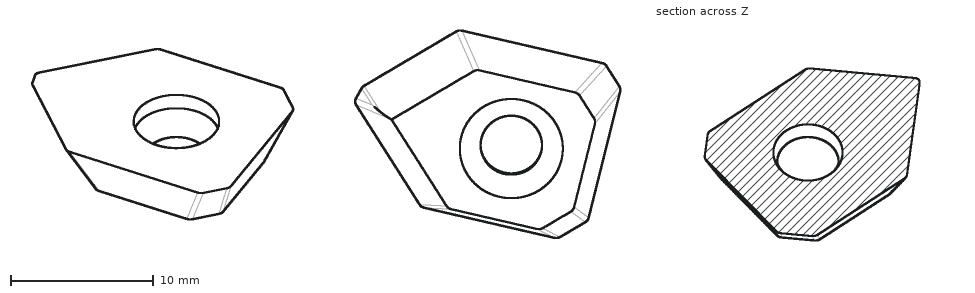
import math

import cadquery as cq

THICKNESS = 3.97
SIDE_RELIEF = 20.0
OBLIQUE_RELIEF = 28.5
EDGE_RADIUS = 0.55

RIGHT_REACH = 6.73
BACK_REACH = 6.73
FRONT_REACH = 6.47
BACK_CORNER_REACH = 8.26
FRONT_CORNER_REACH = 8.26
BACK_FLANK_REACH = 8.22
FRONT_FLANK_REACH = 8.35
NOSE_REACH = 10.8

WALLS = [
    (0, RIGHT_REACH, SIDE_RELIEF),
    (45, BACK_CORNER_REACH, OBLIQUE_RELIEF),
    (90, BACK_REACH, SIDE_RELIEF),
    (135, BACK_FLANK_REACH, OBLIQUE_RELIEF),
    (195, NOSE_REACH, OBLIQUE_RELIEF),
    (225, FRONT_FLANK_REACH, OBLIQUE_RELIEF),
    (270, FRONT_REACH, SIDE_RELIEF),
    (315, FRONT_CORNER_REACH, OBLIQUE_RELIEF),
]
STOCK_SIZE = 60.0

SEAT_RADIUS = 3.0
SEAT_DEPTH = 1.2
THROAT_RADIUS = 2.15
THROAT_DEPTH = 3.12
COUNTERSINK_HALF_ANGLE = 60.0


def half_stock(direction, reach, relief):
    """Slab of stock lying inside one leaning side wall."""
    inset = THICKNESS * math.tan(math.radians(relief))
    profile = [
        (-STOCK_SIZE, 0),
        (reach, 0),
        (reach - inset, -THICKNESS),
        (-STOCK_SIZE, -THICKNESS),
    ]
    slab = cq.Workplane("XZ").polyline(profile).close().extrude(STOCK_SIZE, both=True)
    return slab.rotate((0, 0, 0), (0, 0, 1), direction)


def top_corner(wall, next_wall):
    """Point where the top edges of two neighbouring walls meet."""
    angle, reach, _ = wall
    next_angle, next_reach, _ = next_wall
    a = math.radians(angle)
    b = math.radians(next_angle)
    turn = math.sin(b - a)
    x = (reach * math.sin(b) - next_reach * math.sin(a)) / turn
    y = (next_reach * math.cos(a) - reach * math.cos(b)) / turn
    return x, y


def rounded_wedge(wall, next_wall):
    """Stock inside two neighbouring walls, with the edge between them rounded."""
    wedge = half_stock(*wall).intersect(half_stock(*next_wall))
    middle_height = -THICKNESS / 2
    x, y = top_corner(wall, next_wall)
    edge = wedge.edges("not #Z").edges(cq.selectors.NearestToPointSelector((x, y, middle_height)))
    return edge.fillet(EDGE_RADIUS)


def insert_body():
    """Insert outline: the stock common to the wedges at all corners."""
    body = rounded_wedge(WALLS[-1], WALLS[0])
    for wall, next_wall in zip(WALLS, WALLS[1:]):
        body = body.intersect(rounded_wedge(wall, next_wall))
    return body


def screw_hole():
    """Revolved cutter: straight seat, convex curve into the throat, countersink below."""
    rise = THROAT_DEPTH - SEAT_DEPTH
    step = SEAT_RADIUS - THROAT_RADIUS
    curve_radius = (rise**2 + step**2) / (2 * step)
    half_sweep = math.atan2(step, rise)
    middle = (
        THROAT_RADIUS + curve_radius * (1 - math.cos(half_sweep)),
        -THROAT_DEPTH + curve_radius * math.sin(half_sweep),
    )
    flare = (THICKNESS - THROAT_DEPTH) * math.tan(math.radians(COUNTERSINK_HALF_ANGLE))
    profile = (
        cq.Workplane("XZ")
        .lineTo(SEAT_RADIUS, 0)
        .lineTo(SEAT_RADIUS, -SEAT_DEPTH)
        .threePointArc(middle, (THROAT_RADIUS, -THROAT_DEPTH))
        .lineTo(THROAT_RADIUS + flare, -THICKNESS)
        .lineTo(0, -THICKNESS)
        .close()
    )
    return profile.revolve(360, (0, 0, 0), (0, 1, 0))


result = insert_body().cut(screw_hole())